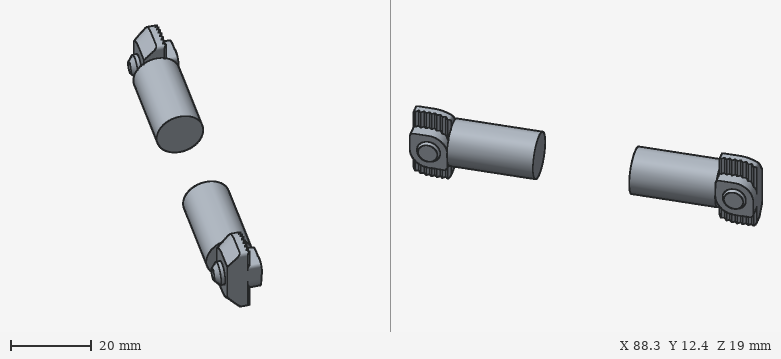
import cadquery as cq
import math

TOTAL_LENGTH = 88.3

ROD_DIAMETER = 12.0
ROD_LENGTH = 22.1

NUT_WIDTH = 9.7
FLANGE_HEIGHT = 19.0
STEM_HEIGHT = NUT_WIDTH
CORNER_RADIUS = 1.0
STEM_END_Y = 5.6
TOOTH_TIP_Y = 2.65
BEVEL_START_Y = 0.2
NUT_FRONT_Y = -3.3
BEVEL_HEIGHT = 3.3

TOOTH_COUNT = 7
TOOTH_PITCH = NUT_WIDTH / TOOTH_COUNT
TOOTH_DEPTH = TOOTH_PITCH / 2

SCREW_DIAMETER = 6.0
TIP_DIAMETER = 4.9
TIP_END_Y = 6.4
HEAD_TAPER_START_Y = -4.3
HEAD_END_Y = -5.65
DIMPLE_DIAMETER = 3.0
DIMPLE_DEPTH = 0.9

NUT_CENTER_X = (TOTAL_LENGTH - NUT_WIDTH) / 2
ROD_CENTER_X = TOTAL_LENGTH / 2 - NUT_WIDTH - ROD_LENGTH / 2


def make_quarter_turn_prism(height, start_y, end_y):
    """Block with two opposite corners cut by arcs about its centre, so that it can turn in a slot."""
    half_width = NUT_WIDTH / 2
    half_height = height / 2
    arc_end_z = math.sqrt(half_height**2 - half_width**2)
    middle_angle = math.asin(half_width / half_height) / 2
    middle_x = half_height * math.sin(middle_angle)
    middle_z = half_height * math.cos(middle_angle)
    return (
        cq.Workplane("XZ", origin=(0, end_y, 0))
        .moveTo(0, half_height)
        .lineTo(half_width, half_height)
        .lineTo(half_width, -arc_end_z)
        .threePointArc((middle_x, -middle_z), (0, -half_height))
        .lineTo(-half_width, -half_height)
        .lineTo(-half_width, arc_end_z)
        .threePointArc((-middle_x, middle_z), (0, half_height))
        .close()
        .extrude(end_y - start_y)
    )


def make_bevel_envelope():
    """Beveled flange section: conical about the screw axis, flat where the flange has square corners."""
    half_height = FLANGE_HEIGHT / 2
    section = [
        (TOOTH_TIP_Y, 0),
        (TOOTH_TIP_Y, half_height),
        (BEVEL_START_Y, half_height),
        (NUT_FRONT_Y, half_height - BEVEL_HEIGHT),
        (NUT_FRONT_Y, 0),
    ]
    cone = cq.Workplane("YZ").polyline(section).close().revolve(360, (0, 0, 0), (1, 0, 0))
    upper_right = cq.Workplane("YZ").polyline(section).close().extrude(NUT_WIDTH / 2)
    lower_left = upper_right.rotate((0, 0, 0), (0, 1, 0), 180)
    return cone.union(upper_right).union(lower_left)


def make_toothed_block():
    """Block that covers the flange, with teeth along Z on its +Y side."""
    half_width = NUT_WIDTH / 2
    outline = cq.Workplane("XY").moveTo(half_width, NUT_FRONT_Y).lineTo(-half_width, NUT_FRONT_Y)
    outline = outline.lineTo(-half_width, TOOTH_TIP_Y - TOOTH_DEPTH)
    for _ in range(TOOTH_COUNT):
        outline = outline.line(TOOTH_PITCH / 2, TOOTH_DEPTH).line(TOOTH_PITCH / 2, -TOOTH_DEPTH)
    return outline.close().extrude(FLANGE_HEIGHT / 2, both=True)


def make_screw_bore():
    """Through hole that the screw shank fills."""
    length = STEM_END_Y - NUT_FRONT_Y
    return cq.Workplane("XZ", origin=(0, STEM_END_Y, 0)).circle(SCREW_DIAMETER / 2).extrude(length)


def make_nut(center_x):
    flange = make_quarter_turn_prism(FLANGE_HEIGHT, NUT_FRONT_Y, TOOTH_TIP_Y)
    flange = flange.edges("|Y").edges(">X or <X").fillet(CORNER_RADIUS)
    flange = flange.intersect(make_bevel_envelope()).intersect(make_toothed_block())
    stem = make_quarter_turn_prism(STEM_HEIGHT, BEVEL_START_Y, STEM_END_Y)
    stem = stem.edges("|Y").edges(">(1, 0, 1) or <(1, 0, 1)").fillet(CORNER_RADIUS)
    nut = flange.union(stem).cut(make_screw_bore())
    return nut.translate((center_x, 0, 0))


def make_screw(center_x):
    """Screw with a chamfered tip, a tapered head and a conical dimple in the head."""
    radius = SCREW_DIAMETER / 2
    dimple_radius = DIMPLE_DIAMETER / 2
    screw = (
        cq.Workplane("XY")
        .moveTo(0, TIP_END_Y)
        .lineTo(TIP_DIAMETER / 2, TIP_END_Y)
        .lineTo(radius, STEM_END_Y)
        .lineTo(radius, HEAD_TAPER_START_Y)
        .lineTo(dimple_radius, HEAD_END_Y)
        .lineTo(0, HEAD_END_Y + DIMPLE_DEPTH)
        .close()
        .revolve(360, (0, 0, 0), (0, 1, 0))
    )
    return screw.translate((center_x, 0, 0))


def make_rod(center_x):
    rod = cq.Workplane("YZ").circle(ROD_DIAMETER / 2).extrude(ROD_LENGTH)
    return rod.translate((center_x - ROD_LENGTH / 2, 0, 0))


bodies = []
for side in (-1, 1):
    bodies.append(make_rod(side * ROD_CENTER_X).val())
    bodies.append(make_nut(side * NUT_CENTER_X).val())
    bodies.append(make_screw(side * NUT_CENTER_X).val())

result = cq.Compound.makeCompound(bodies)